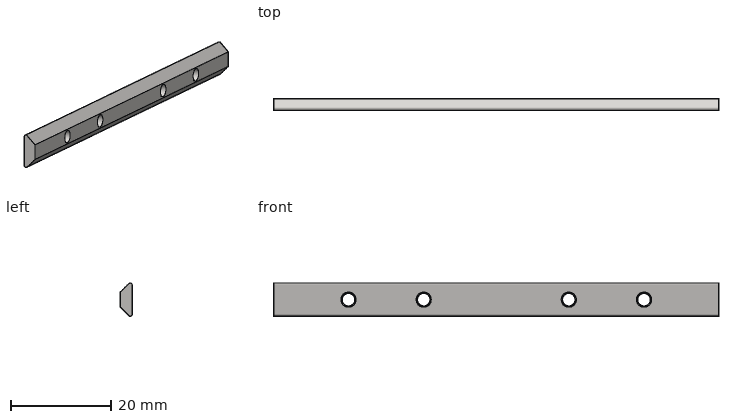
import cadquery as cq
import math

length = 89.0
thickness = 2.4
height = 6.7
edge_radius = 0.4

hole_diameter = 2.5
hole_mouth_diameter = 3.0
inner_hole_offset = 14.5
hole_pitch = 15.0

front_y = -thickness / 2
back_y = thickness / 2


def make_bar():
    """Extrude a trapezoid with 45 degree flanks, then round its two sharp long edges."""
    half_front = height / 2 + math.sqrt(2) * edge_radius
    half_back = half_front - thickness
    section = cq.Workplane("YZ").polyline([
        (front_y, -half_front),
        (front_y, half_front),
        (back_y, half_back),
        (back_y, -half_back),
    ]).close()
    bar = section.extrude(length / 2, both=True)
    return bar.faces("<Y").edges("|X").fillet(edge_radius)


def make_hole(x):
    """Cutter for one through hole with a 45 degree countersunk mouth."""
    hole_radius = hole_diameter / 2
    mouth_radius = hole_mouth_diameter / 2
    mouth_depth = mouth_radius - hole_radius
    profile = [
        (0, front_y),
        (mouth_radius, front_y),
        (hole_radius, front_y + mouth_depth),
        (hole_radius, back_y),
        (0, back_y),
    ]
    cutter = cq.Workplane("XY").polyline(profile).close().revolve(360, (0, 0), (0, 1))
    return cutter.translate((x, 0, 0))


result = make_bar()
for side in (-1, 1):
    for offset in (inner_hole_offset, inner_hole_offset + hole_pitch):
        result = result.cut(make_hole(side * offset))